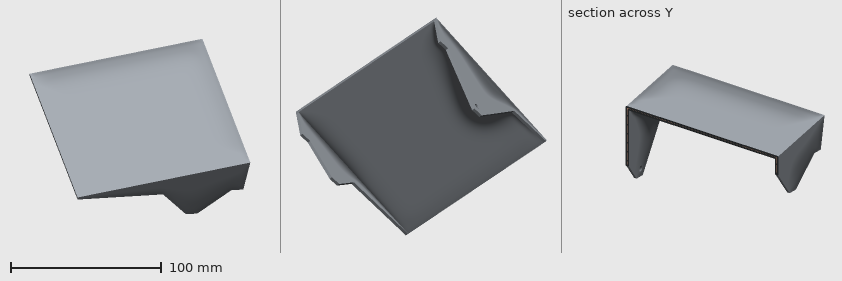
import cadquery as cq
import math

width = 118.0
length = 119.04
plate_thickness = 2.0

wall_thickness = 2.0
wedge_depth = 25.0
total_height = 63.57

tip_width = 8.0
ear_center = 32.4
back_root_offset = 24.0
tall_front_offset = 48.7
short_front_offset = 24.0
short_ear_depth = 20.0
hole_diameter = 4.0
hole_to_tip = 6.0

front_to_back_diagonal = math.hypot(length, plate_thickness)
slope = math.asin(wedge_depth / front_to_back_diagonal) - math.atan2(plate_thickness, length)
slope_length = math.sqrt(front_to_back_diagonal**2 - wedge_depth**2)
ear_center_from_front = slope_length - ear_center

tip_back_from_front = ear_center_from_front + tip_width / 2
tall_ear_depth = (
    total_height - plate_thickness - tip_back_from_front * math.sin(slope)
) / math.cos(slope)


def slope_point(along, below):
    """Return (y, z) of a point along the sloping edge from the front and square below it."""
    y = along * math.cos(slope) - below * math.sin(slope)
    z = -plate_thickness - along * math.sin(slope) - below * math.cos(slope)
    return y, z


def make_plate():
    """Plate whose back end face leans with the back edges of the walls."""
    back_lean = plate_thickness * math.tan(slope)
    outline = [
        (0, 0),
        (length, 0),
        (length - back_lean, -plate_thickness),
        (0, -plate_thickness),
    ]
    return cq.Workplane("YZ").polyline(outline).close().extrude(width)


def make_wall(x_start, ear_depth, front_offset):
    """Wedge-shaped wall with one tapered ear, starting at x_start."""
    outline = [
        (0, 0),
        (length, 0),
        slope_point(slope_length, 0),
        slope_point(ear_center_from_front + back_root_offset, 0),
        slope_point(ear_center_from_front + tip_width / 2, ear_depth),
        slope_point(ear_center_from_front - tip_width / 2, ear_depth),
        slope_point(ear_center_from_front - front_offset, 0),
        (0, -plate_thickness),
    ]
    return cq.Workplane("YZ", origin=(x_start, 0, 0)).polyline(outline).close().extrude(wall_thickness)


def make_pivot_hole():
    """Cutter for the hole near the tip of the tall ear."""
    center = slope_point(ear_center_from_front, tall_ear_depth - hole_to_tip)
    return cq.Workplane("YZ").center(*center).circle(hole_diameter / 2).extrude(wall_thickness)


tall_wall = make_wall(0, tall_ear_depth, tall_front_offset).cut(make_pivot_hole())
short_wall = make_wall(width - wall_thickness, short_ear_depth, short_front_offset)

result = make_plate().union(tall_wall).union(short_wall)